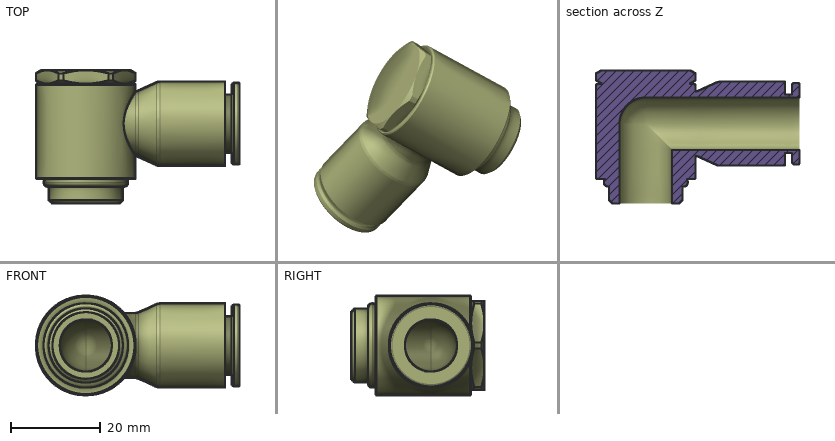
import cadquery as cq
import math


body_radius = 11.2
body_back_y = 9.0
body_front_y = -12.45
body_chamfer = 0.27

hex_across_flats = 20.0
hex_height = 3.0
hex_corner_radius = body_radius
hex_chamfer_angle = 30.0

spigot_radius = 8.33
spigot_length = 5.5
spigot_chamfer = 0.85
oring_section_radius = 1.0
oring_outer_radius = 9.48
oring_offset = 0.7

stub_radius = 7.3
sleeve_radius = 9.48
cone_start_x = 11.46
cone_end_x = 16.24
cone_blend_radius = 1.66
sleeve_end_x = 31.28

collet_neck_radius = 6.6
collet_flange_radius = 9.22
flange_start_x = 32.7
arm_end_x = 34.51
flange_back_chamfer = 0.5
flange_face_fillet = 0.45

bore_radius = 5.85

spigot_end_y = body_front_y - spigot_length
hex_back_y = body_back_y + hex_height


def cylinder_y(radius, start_y, end_y):
    """Cylinder around the Y axis between two Y positions."""
    start_plane = cq.Workplane("XZ", origin=(0, end_y, 0))
    return start_plane.circle(radius).extrude(end_y - start_y)


def cylinder_x(radius, start_x, end_x):
    """Cylinder around the X axis between two X positions."""
    start_plane = cq.Workplane("YZ", origin=(start_x, 0, 0))
    return start_plane.circle(radius).extrude(end_x - start_x)


def make_body():
    barrel = cylinder_y(body_radius, body_front_y, body_back_y)
    return barrel.faces("<Y or >Y").edges().chamfer(body_chamfer)


def make_hex_head():
    """Hexagon with corners on +X and -X, turned conically at both ends."""
    hexagon = (
        cq.Workplane("XZ", origin=(0, hex_back_y, 0))
        .polygon(6, hex_across_flats / math.cos(math.pi / 6))
        .extrude(hex_height)
    )
    end_radius = hex_across_flats / 2
    chamfer_depth = hex_corner_radius - end_radius
    chamfer_length = chamfer_depth * math.tan(math.radians(hex_chamfer_angle))
    turned_envelope = (
        cylinder_y(hex_corner_radius, body_back_y, hex_back_y)
        .faces("<Y or >Y")
        .edges()
        .chamfer(chamfer_length, chamfer_depth)
    )
    return hexagon.intersect(turned_envelope)


def make_spigot():
    spigot = cylinder_y(spigot_radius, spigot_end_y, 0)
    return spigot.faces("<Y").edges().chamfer(spigot_chamfer)


def make_oring():
    """O-ring seated against the front face, partly sunk into the body."""
    section_center = (oring_outer_radius - oring_section_radius, body_front_y - oring_offset)
    return (
        cq.Workplane("XY")
        .center(*section_center)
        .circle(oring_section_radius)
        .revolve(360, (-section_center[0], 0), (-section_center[0], 1))
    )


def make_arm():
    """Stub, blended cone and sleeve as one turned shape."""
    profile = [
        (0, 0),
        (0, stub_radius),
        (cone_start_x, stub_radius),
        (cone_end_x, sleeve_radius),
        (sleeve_end_x, sleeve_radius),
        (sleeve_end_x, 0),
    ]
    turned = cq.Workplane("XY").polyline(profile).close().revolve(360, (0, 0), (1, 0))
    cone_edges = turned.faces("%CONE").edges("%CIRCLE")
    return cone_edges.fillet(cone_blend_radius)


def make_collet():
    neck = cylinder_x(collet_neck_radius, sleeve_end_x, arm_end_x)
    flange = cylinder_x(collet_flange_radius, flange_start_x, arm_end_x)
    flange = flange.faces("<X").edges().chamfer(flange_back_chamfer)
    flange = flange.faces(">X").edges().fillet(flange_face_fillet)
    return neck.union(flange)


def make_passage():
    """Two equal bores meeting at the origin, rounded by a sphere at the bend."""
    spigot_bore = cylinder_y(bore_radius, spigot_end_y, 0)
    arm_bore = cylinder_x(bore_radius, 0, arm_end_x)
    bend = cq.Workplane("XY").sphere(bore_radius)
    return spigot_bore.union(arm_bore).union(bend)


result = (
    make_body()
    .union(make_hex_head())
    .union(make_spigot())
    .union(make_oring())
    .union(make_arm())
    .union(make_collet())
    .cut(make_passage())
)